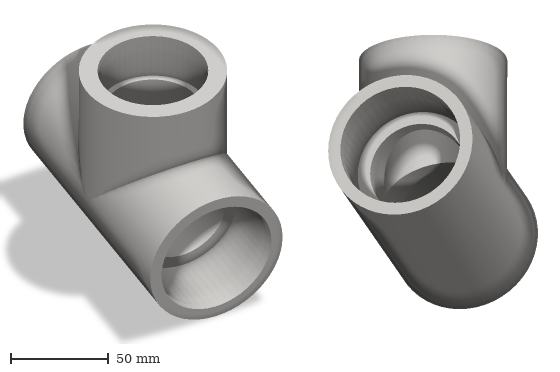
import cadquery as cq

run_length = 143.0
body_diameter = 76.0
overall_height = 109.7
bore_diameter = 50.0
run_socket_diameter = 63.0
run_socket_depth = 38.0
branch_socket_diameter = 56.6
branch_socket_depth = 25.7

run_end = run_length / 2
branch_top = overall_height - body_diameter / 2


def run_cylinder(diameter, start, length):
    """Cylinder on the run axis, from X = start towards +X."""
    return cq.Workplane("YZ", origin=(start, 0, 0)).circle(diameter / 2).extrude(length)


def branch_cylinder(diameter, start, length):
    """Cylinder on the branch axis, from Z = start upwards."""
    return cq.Workplane("XY", origin=(0, 0, start)).circle(diameter / 2).extrude(length)


body = run_cylinder(body_diameter, -run_end, run_length).union(
    branch_cylinder(body_diameter, 0, branch_top)
)

bores = run_cylinder(bore_diameter, -run_end, run_length).union(
    branch_cylinder(bore_diameter, 0, branch_top)
)
result = body.cut(bores)

for socket_start in (-run_end, run_end - run_socket_depth):
    result = result.cut(run_cylinder(run_socket_diameter, socket_start, run_socket_depth))
result = result.cut(
    branch_cylinder(branch_socket_diameter, branch_top - branch_socket_depth, branch_socket_depth)
)